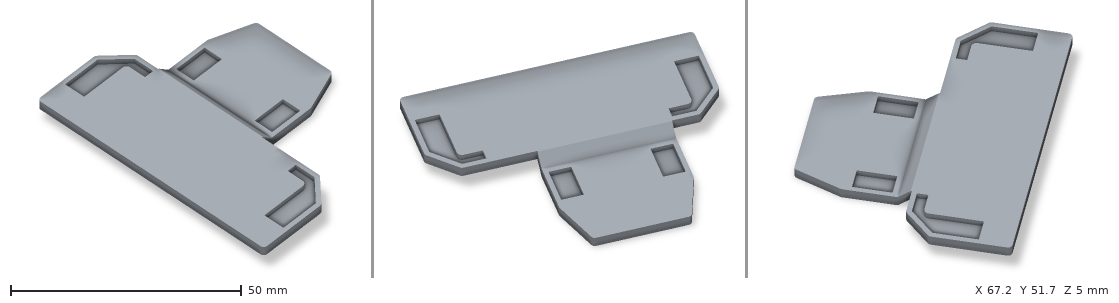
import cadquery as cq
import math

thickness = 2.5
plate_length = 67.2
plate_depth = 24.7
plate_chamfer = 6.4
corner_radius = 1.0

overall_depth = 51.7
tab_width = 30.7
tab_center_x = -5.4
tab_taper_length = 11.3
tab_taper_angle = 20.0
bend_length = 2.95
bend_setback = 0.2

pocket_depth = 1.5
rim_width = 1.2
tab_rim_width = 1.15
tab_pocket_width = 5.2
tab_pocket_length = 9.0
tab_pocket_gap = 1.35
leg_width = 5.65
leg_end_y = 7.5
arm_width = 2.55
arm_reach = 11.2
pocket_bend_diameter = 2.35

pocket_bend_radius = pocket_bend_diameter / 2
plate_bottom = thickness
plate_top = 2 * thickness
bend_start_y = plate_depth + bend_setback
tab_start_y = bend_start_y + bend_length
tab_taper_inset = tab_taper_length * math.tan(math.radians(tab_taper_angle))


def make_plate():
    """Rectangle with its two rear corners cut at 45 degrees and every corner rounded."""
    half = plate_length / 2
    shoulder_y = plate_depth - plate_chamfer
    outline = [
        (-half, 0),
        (half, 0),
        (half, shoulder_y),
        (half - plate_chamfer, plate_depth),
        (plate_chamfer - half, plate_depth),
        (-half, shoulder_y),
    ]
    plate = cq.Workplane("XY").workplane(offset=plate_bottom).polyline(outline).close()
    return plate.extrude(thickness).edges("|Z").fillet(corner_radius)


def make_tab():
    """Flat tab whose sides taper inwards towards the rear, with rounded free corners."""
    half = tab_width / 2
    shoulder_y = overall_depth - tab_taper_length
    outline = [
        (-half, tab_start_y),
        (half, tab_start_y),
        (half, shoulder_y),
        (half - tab_taper_inset, overall_depth),
        (tab_taper_inset - half, overall_depth),
        (-half, shoulder_y),
    ]
    tab = cq.Workplane("XY").polyline(outline).close().extrude(thickness)
    free_corners = tab.edges("|Z").edges("not <Y")
    return free_corners.fillet(corner_radius).translate((tab_center_x, 0, 0))


def make_bend():
    """Short flat strip and sloping web from the plate down to the tab."""
    profile = [
        (plate_depth, plate_top),
        (bend_start_y, plate_top),
        (tab_start_y, thickness),
        (tab_start_y, 0),
        (bend_start_y, plate_bottom),
        (plate_depth, plate_bottom),
    ]
    web = cq.Workplane("YZ").polyline(profile).close().extrude(tab_width / 2, both=True)
    return web.translate((tab_center_x, 0, 0))


def make_plate_pocket():
    """L-shaped pocket following the left chamfered corner of the plate at a constant rim."""
    left = rim_width - plate_length / 2
    rear = plate_depth - rim_width
    chamfer = plate_chamfer - rim_width * (2 - math.sqrt(2))
    inner_x = left + leg_width
    inner_y = rear - arm_width
    arm_end_x = left + arm_reach
    pocket = (
        cq.Workplane("XY")
        .workplane(offset=plate_top - pocket_depth)
        .moveTo(left, leg_end_y)
        .lineTo(left, rear - chamfer)
        .lineTo(left + chamfer, rear)
        .lineTo(arm_end_x, rear)
        .lineTo(arm_end_x, inner_y)
        .lineTo(inner_x + pocket_bend_radius, inner_y)
        .radiusArc((inner_x, inner_y - pocket_bend_radius), -pocket_bend_radius)
        .lineTo(inner_x, leg_end_y)
        .close()
    )
    return pocket.extrude(pocket_depth)


def make_tab_pocket(side):
    """Rectangular pocket beside the left (-1) or right (+1) edge of the tab."""
    offset_x = tab_width / 2 - tab_rim_width - tab_pocket_width / 2
    center_y = tab_start_y + tab_pocket_gap + tab_pocket_length / 2
    pocket = cq.Workplane("XY").workplane(offset=thickness - pocket_depth)
    pocket = pocket.center(tab_center_x + side * offset_x, center_y)
    return pocket.rect(tab_pocket_width, tab_pocket_length).extrude(pocket_depth)


result = make_plate().union(make_bend()).union(make_tab())

plate_pocket = make_plate_pocket()
result = result.cut(plate_pocket).cut(plate_pocket.mirror("YZ"))

for side in (-1, 1):
    result = result.cut(make_tab_pocket(side))